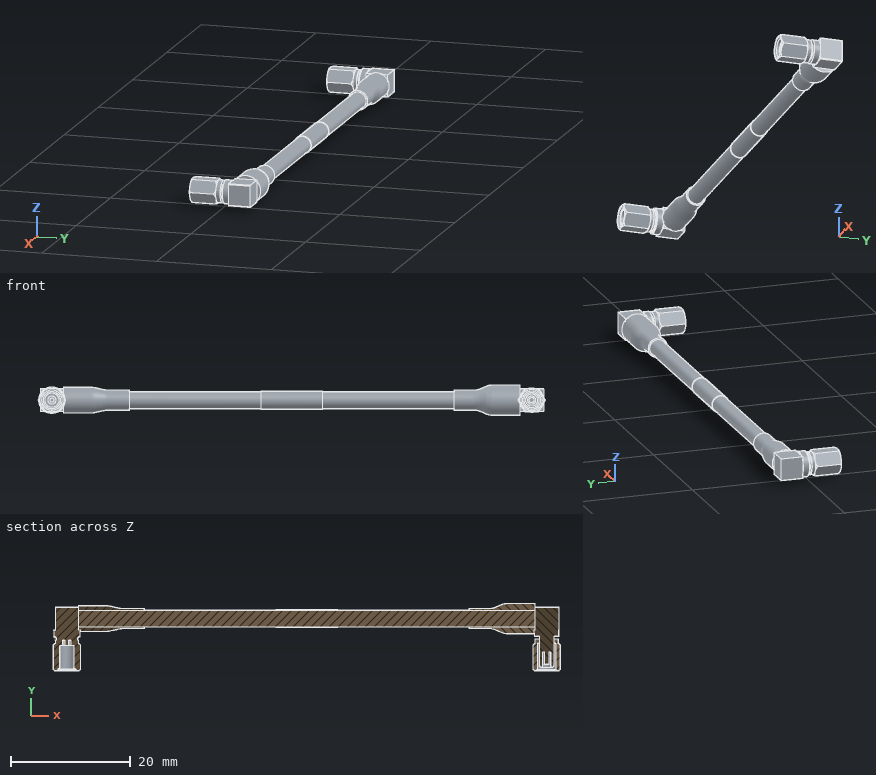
import cadquery as cq


OVERALL_LENGTH = 84.7

CABLE_RADIUS = 1.4
LABEL_LENGTH = 10.25
LABEL_THICKNESS = 0.1

BLOCK_SIZE = 3.8
PLUG_AXIS_X = 40.05
BLOCK_INNER_X = PLUG_AXIS_X - BLOCK_SIZE / 2
BLOCK_FRONT_Y = -BLOCK_SIZE / 2
MOUTH_Y = -8.7

BOOT_END_X = 27.1
BOOT_END_RADIUS = 1.7
BOOT_FILLET = 2.4
LEFT_BOOT_DIAMETER = 4.3
LEFT_CONE_START_X = 31.0
LEFT_CONE_END_X = 33.1
RIGHT_BOOT_DIAMETER = 5.1
RIGHT_CONE_START_X = 31.0
RIGHT_CONE_END_X = 32.9

HEX_CORNER_RADIUS = OVERALL_LENGTH / 2 - PLUG_AXIS_X
HEX_BACK_Y = -4.15
HEX_CHAMFER = 0.25
MOUTH_CHAMFER = 0.25
SHELL_NECK_RADIUS = 1.95

LEFT_COLLAR_RADIUS = 2.2
LEFT_COLLAR_END_Y = -3.05
LEFT_GROOVE_RADIUS = 1.8
LEFT_GROOVE_START_Y = -3.2
LEFT_GROOVE_END_Y = -3.55
LEFT_MOUTH_RADIUS = 1.4
LEFT_MOUTH_DEPTH = 0.3
LEFT_BORE_RADIUS = 1.2
LEFT_BORE_DEPTH = 4.2
LEFT_SOCKET_RADIUS = 0.7
LEFT_SOCKET_DEPTH = 0.85
LEFT_PIN_RADIUS = 0.3

RIGHT_BLOCK_LENGTH = 4.0
RIGHT_BLOCK_CHAMFER = 0.13
RIGHT_COLLAR_RADIUS = 2.0
RIGHT_COLLAR_END_Y = -3.0
SPIGOT_RADIUS = 1.3
SPIGOT_END_Y = -8.1
SPIGOT_CHAMFER = 0.25
SPIGOT_BORE_RADIUS = 0.7
SPIGOT_BORE_DEPTH = 2.5
PIN_RADIUS = 0.4
PIN_END_Y = -7.6

NUT_BACK_Y = -3.4
NUT_BORE_RADIUS = 1.5


def plug_cylinder(axis_x, radius, back_y, front_y):
    """Cylinder on a plug axis, from back_y forward (-Y) to front_y."""
    base = cq.Workplane("XZ", origin=(axis_x, back_y, 0))
    return base.circle(radius).extrude(back_y - front_y)


def plug_hexagon(axis_x):
    """Hexagonal shell with its corners on +X and -X and turned down at both ends."""
    length = HEX_BACK_Y - MOUTH_Y
    base = cq.Workplane("XZ", origin=(axis_x, HEX_BACK_Y, 0))
    hexagon = base.polygon(6, 2 * HEX_CORNER_RADIUS).extrude(length)
    turned = base.circle(HEX_CORNER_RADIUS).extrude(length).edges().chamfer(HEX_CHAMFER)
    return hexagon.intersect(turned)


def make_cable():
    base = cq.Workplane("YZ", origin=(-BLOCK_INNER_X, 0, 0))
    return base.circle(CABLE_RADIUS).extrude(2 * BLOCK_INNER_X)


def make_label():
    base = cq.Workplane("YZ", origin=(-LABEL_LENGTH / 2, 0, 0))
    ring = base.circle(CABLE_RADIUS + LABEL_THICKNESS).circle(CABLE_RADIUS)
    return ring.extrude(LABEL_LENGTH)


def make_boot(side, large_diameter, cone_start_x, cone_end_x):
    """Boot on the cable, flared by a filleted cone; side is -1 for the left end, +1 for the right."""
    large_radius = large_diameter / 2
    profile = (
        cq.Workplane("XY")
        .moveTo(side * BOOT_END_X, CABLE_RADIUS)
        .lineTo(side * BOOT_END_X, BOOT_END_RADIUS)
        .lineTo(side * cone_start_x, BOOT_END_RADIUS)
        .lineTo(side * cone_end_x, large_radius)
        .lineTo(side * BLOCK_INNER_X, large_radius)
        .lineTo(side * BLOCK_INNER_X, CABLE_RADIUS)
        .close()
    )
    boot = profile.revolve(360, (0, 0, 0), (1, 0, 0))
    for corner_x in (cone_start_x, cone_end_x):
        corner = cq.selectors.NearestToPointSelector((side * corner_x, 0, 0))
        boot = boot.edges(corner).fillet(BOOT_FILLET)
    return boot


def mouth_bore(axis_x, radius, depth):
    """Cutter for a round bore from the plug mouth, with a chamfered rim."""
    rim_radius = radius + MOUTH_CHAMFER
    profile = cq.Workplane("XY").polyline(
        [
            (axis_x, MOUTH_Y),
            (axis_x + rim_radius, MOUTH_Y),
            (axis_x + radius, MOUTH_Y + MOUTH_CHAMFER),
            (axis_x + radius, MOUTH_Y + depth),
            (axis_x, MOUTH_Y + depth),
        ]
    ).close()
    return profile.revolve(360, (axis_x, 0, 0), (axis_x, 1, 0))


def make_left_elbow():
    axis_x = -PLUG_AXIS_X
    bore_back_y = MOUTH_Y + LEFT_BORE_DEPTH
    socket_back_y = bore_back_y + LEFT_SOCKET_DEPTH
    groove = plug_cylinder(axis_x, SHELL_NECK_RADIUS, LEFT_GROOVE_START_Y, LEFT_GROOVE_END_Y).cut(
        plug_cylinder(axis_x, LEFT_GROOVE_RADIUS, LEFT_GROOVE_START_Y, LEFT_GROOVE_END_Y)
    )
    return (
        cq.Workplane("XY", origin=(axis_x, 0, 0))
        .box(BLOCK_SIZE, BLOCK_SIZE, BLOCK_SIZE)
        .union(plug_cylinder(axis_x, LEFT_COLLAR_RADIUS, BLOCK_FRONT_Y, LEFT_COLLAR_END_Y))
        .union(plug_cylinder(axis_x, SHELL_NECK_RADIUS, LEFT_COLLAR_END_Y, HEX_BACK_Y))
        .union(plug_hexagon(axis_x))
        .cut(groove)
        .cut(mouth_bore(axis_x, LEFT_MOUTH_RADIUS, LEFT_MOUTH_DEPTH))
        .cut(plug_cylinder(axis_x, LEFT_BORE_RADIUS, bore_back_y, MOUTH_Y))
        .cut(plug_cylinder(axis_x, LEFT_SOCKET_RADIUS, socket_back_y, bore_back_y))
        .union(plug_cylinder(axis_x, LEFT_PIN_RADIUS, socket_back_y, bore_back_y))
    )


def make_right_elbow():
    axis_x = PLUG_AXIS_X
    bore_end_y = SPIGOT_END_Y + SPIGOT_BORE_DEPTH
    block = (
        cq.Workplane("XY", origin=(BLOCK_INNER_X + RIGHT_BLOCK_LENGTH / 2, 0, 0))
        .box(RIGHT_BLOCK_LENGTH, BLOCK_SIZE, BLOCK_SIZE)
        .faces(">X")
        .edges("|Y")
        .chamfer(RIGHT_BLOCK_CHAMFER)
    )
    spigot = plug_cylinder(axis_x, SPIGOT_RADIUS, RIGHT_COLLAR_END_Y, SPIGOT_END_Y)
    spigot_bore = plug_cylinder(axis_x, SPIGOT_BORE_RADIUS, bore_end_y, SPIGOT_END_Y)
    return (
        block
        .union(plug_cylinder(axis_x, RIGHT_COLLAR_RADIUS, BLOCK_FRONT_Y, RIGHT_COLLAR_END_Y))
        .union(spigot.faces("<Y").chamfer(SPIGOT_CHAMFER))
        .cut(spigot_bore)
        .union(plug_cylinder(axis_x, PIN_RADIUS, bore_end_y, PIN_END_Y))
    )


def make_nut():
    axis_x = PLUG_AXIS_X
    neck = plug_cylinder(axis_x, SHELL_NECK_RADIUS, NUT_BACK_Y, HEX_BACK_Y)
    clearance = plug_cylinder(axis_x, SPIGOT_RADIUS, NUT_BACK_Y, HEX_BACK_Y)
    bore = mouth_bore(axis_x, NUT_BORE_RADIUS, HEX_BACK_Y - MOUTH_Y)
    return neck.union(plug_hexagon(axis_x)).cut(clearance).cut(bore)


cable = make_cable()
label = make_label()
left_elbow = make_left_elbow()
right_elbow = make_right_elbow()
nut = make_nut()

left_boot = make_boot(-1, LEFT_BOOT_DIAMETER, LEFT_CONE_START_X, LEFT_CONE_END_X).cut(left_elbow)
right_boot = make_boot(1, RIGHT_BOOT_DIAMETER, RIGHT_CONE_START_X, RIGHT_CONE_END_X).cut(right_elbow)

bodies = [cable, label, left_boot, right_boot, left_elbow, right_elbow, nut]
result = cq.Compound.makeCompound([body.solids().val() for body in bodies])